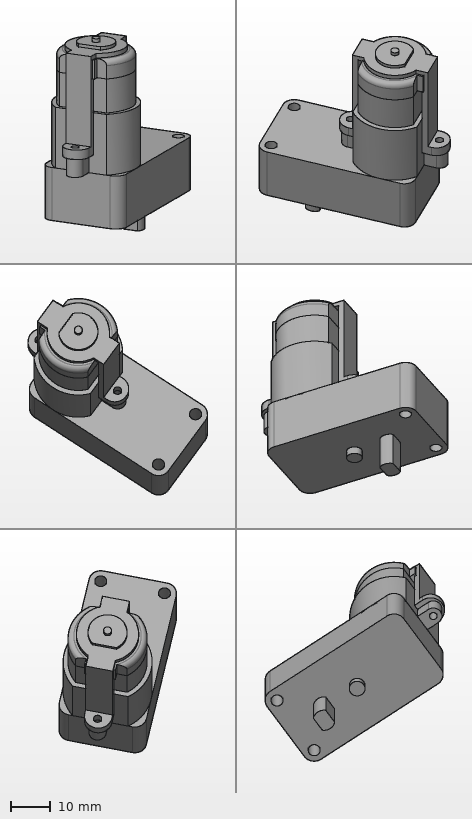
import cadquery as cq


BOX_WIDTH = 22.5
BOX_LENGTH = 42.0
BOX_HEIGHT = 14.0
BOX_CORNER_RADIUS = 3.0
BOX_HOLE_DIAMETER = 3.0
LOCATING_PIN_DIAMETER = 4.0
LOCATING_PIN_LENGTH = 2.0
LOCATING_PIN_Y = 11.35

SHAFT_DIAMETER = 5.5
SHAFT_ACROSS_FLATS = 3.8
SHAFT_LENGTH = 9.0
SHAFT_Y = 21.55

MOUNT_DIAMETER = BOX_WIDTH
MOUNT_DEPTH = 17.35
MOUNT_HEIGHT = 16.0
LUG_WIDTH = 4.35
LUG_HEIGHT = 4.9
LUG_HOLE_DIAMETER = 1.9
SCREW_Y = 12.05

MOTOR_DIAMETER = 20.05
MOTOR_DEPTH = 15.0
CAN_HEIGHT = 8.95
CAP_HEIGHT = 5.05
CAP_EDGE_RADIUS = 1.5
TERMINAL_WIDTH = 7.95
TERMINAL_REACH = 9.1
HUB_DIAMETER = 9.9
HUB_FLAT_OFFSET = 3.85
HUB_STANDOUT = 0.85
MOTOR_PIN_DIAMETER = 2.0
MOTOR_PIN_LENGTH = 0.95

STRAP_WIDTH = 7.0
STRAP_TOP_THICKNESS = 1.2
STRAP_LEG_THICKNESS = 1.5
STRAP_DISC_DIAMETER = 15.8
FOOT_THICKNESS = 2.5
FOOT_ARC_Y = 11.2
FOOT_HOLE_DIAMETER = 2.0

box_front = -MOUNT_DEPTH / 2
box_back = box_front + BOX_LENGTH
mount_top = BOX_HEIGHT + MOUNT_HEIGHT
can_top = mount_top + CAN_HEIGHT
cap_top = can_top + CAP_HEIGHT
strap_top = cap_top + STRAP_TOP_THICKNESS
hub_top = strap_top + HUB_STANDOUT
foot_bottom = BOX_HEIGHT + LUG_HEIGHT
leg_inner = MOUNT_DEPTH / 2
leg_outer = leg_inner + STRAP_LEG_THICKNESS


def cylinder(diameter, bottom, top, y=0):
    """Upright cylinder centred on X = 0."""
    return cq.Workplane("XY", origin=(0, y, bottom)).circle(diameter / 2).extrude(top - bottom)


def block(width, y_min, y_max, bottom, top):
    """Rectangular block centred on X = 0."""
    center = (0, (y_min + y_max) / 2, bottom)
    return cq.Workplane("XY", origin=center).rect(width, y_max - y_min).extrude(top - bottom)


def keep_depth(body, depth, bottom, top):
    """Flatten a round body on its front and back."""
    return body.intersect(block(BOX_WIDTH, -depth / 2, depth / 2, bottom, top))


def rounded_tab(width, arc_y, bottom, top):
    """Tab from the motor axis towards +Y, ending in a half circle centred at arc_y."""
    return block(width, 0, arc_y, bottom, top).union(cylinder(width, bottom, top, arc_y))


def front_and_back(feature):
    """A feature at +Y together with its mirror image at -Y."""
    return feature.union(feature.mirror("XZ"))


def make_gearbox():
    body = block(BOX_WIDTH, box_front, box_back, 0, BOX_HEIGHT)
    body = body.edges("|Z").fillet(BOX_CORNER_RADIUS)
    hole_x = BOX_WIDTH / 2 - BOX_CORNER_RADIUS
    hole_y = box_back - BOX_CORNER_RADIUS
    holes = (
        cq.Workplane("XY")
        .pushPoints([(-hole_x, hole_y), (hole_x, hole_y)])
        .circle(BOX_HOLE_DIAMETER / 2)
        .extrude(BOX_HEIGHT)
    )
    pin = cylinder(LOCATING_PIN_DIAMETER, -LOCATING_PIN_LENGTH, 0, LOCATING_PIN_Y)
    return body.cut(holes).union(pin)


def make_output_shaft():
    shaft = cylinder(SHAFT_DIAMETER, -SHAFT_LENGTH, 0, SHAFT_Y)
    half_flats = SHAFT_ACROSS_FLATS / 2
    flats = block(SHAFT_DIAMETER, SHAFT_Y - half_flats, SHAFT_Y + half_flats, -SHAFT_LENGTH, 0)
    return shaft.intersect(flats)


def make_mount():
    body = cylinder(MOUNT_DIAMETER, BOX_HEIGHT, mount_top)
    body = keep_depth(body, MOUNT_DEPTH, BOX_HEIGHT, mount_top)
    lugs = front_and_back(rounded_tab(LUG_WIDTH, SCREW_Y, BOX_HEIGHT, foot_bottom))
    holes = front_and_back(cylinder(LUG_HOLE_DIAMETER, BOX_HEIGHT, foot_bottom, SCREW_Y))
    return body.union(lugs).cut(holes)


def make_motor_can():
    can = cylinder(MOTOR_DIAMETER, mount_top, can_top)
    return keep_depth(can, MOTOR_DEPTH, mount_top, can_top)


def make_terminal_block():
    return block(TERMINAL_WIDTH, -TERMINAL_REACH, 0, can_top, cap_top)


def make_hub():
    hub = cylinder(HUB_DIAMETER, cap_top, hub_top)
    return hub.intersect(block(HUB_DIAMETER, -HUB_FLAT_OFFSET, HUB_DIAMETER / 2, cap_top, hub_top))


def make_motor_cap():
    cap = cylinder(MOTOR_DIAMETER, can_top, cap_top)
    cap = cap.faces(">Z").edges().fillet(CAP_EDGE_RADIUS)
    cap = keep_depth(cap, MOTOR_DEPTH, can_top, cap_top)
    motor_pin = cylinder(MOTOR_PIN_DIAMETER, hub_top, hub_top + MOTOR_PIN_LENGTH)
    return cap.union(make_terminal_block()).union(make_hub()).union(motor_pin)


def make_strap():
    bridge = block(STRAP_WIDTH, -leg_outer, leg_outer, cap_top, strap_top)
    disc = cylinder(STRAP_DISC_DIAMETER, cap_top, strap_top)
    leg = block(STRAP_WIDTH, leg_inner, leg_outer, foot_bottom, strap_top)
    foot = rounded_tab(STRAP_WIDTH, FOOT_ARC_Y, foot_bottom, foot_bottom + FOOT_THICKNESS)
    foot = foot.cut(block(STRAP_WIDTH, 0, leg_inner, foot_bottom, strap_top))
    foot = foot.cut(cylinder(FOOT_HOLE_DIAMETER, foot_bottom, strap_top, SCREW_Y))
    strap = bridge.union(disc).union(front_and_back(leg.union(foot)))
    return strap.cut(make_hub()).cut(make_terminal_block())


gearbox = make_gearbox()
output_shaft = make_output_shaft()
mount = make_mount()
motor_can = make_motor_can()
motor_cap = make_motor_cap()
strap = make_strap()

result = cq.Compound.makeCompound([
    gearbox.solids().val(),
    output_shaft.solids().val(),
    mount.solids().val(),
    motor_can.solids().val(),
    motor_cap.solids().val(),
    strap.solids().val(),
])